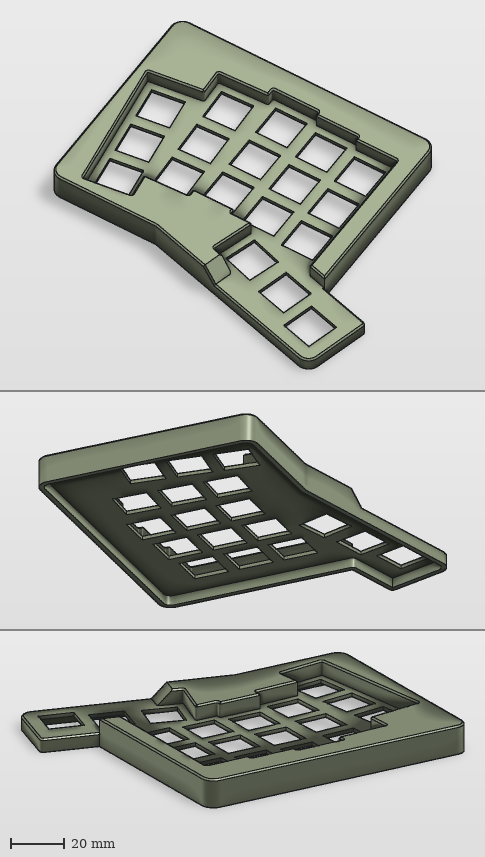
import cadquery as cq
import math

TOTAL_WIDTH = 137.0
TOTAL_DEPTH = 111.5
CASE_HEIGHT = 11.5
DECK_HEIGHT = 5.5
PLATE_THICKNESS = 1.5
WALL = 2.0

MAIN_WIDTH = 115.0
MAIN_FRONT_Y = 21.1
ARM_TILT = 15.2
ARM_WIDTH = 29.6
CORNER_RADIUS = 5.0
ARM_TIP_RADIUS = 1.5
EDGE_CHAMFER = 0.7

KEY_HOLE = 14.0
KEY_PITCH = 18.5
KEYS_PER_COLUMN = 3
COLUMNS = [
    (18.4, 55.8, 7.5),
    (38.8, 68.4, 2.5),
    (59.2, 72.2, 0),
    (78.2, 70.1, 0),
    (96.8, 68.1, 0),
]
THUMB_KEYS = [
    (84.7, 30.4, -17.5),
    (103.5, 23.7, -ARM_TILT),
    (120.4, 14.9, -ARM_TILT),
]

RECESS_WIDTH = 20.3
RECESS_MARGIN = 0.8
RECESS_LENGTH = KEYS_PER_COLUMN * KEY_PITCH + 2 * RECESS_MARGIN
RECESS_RADIUS = 0.7
COLUMN_BRIDGE = 3.8

RAMP_FOOT = 52.0
RAMP_RUN = CASE_HEIGHT - DECK_HEIGHT
RAMP_WIDTH = 8.9

CLEARANCE = 13.7
OVERLAP = 1.4

tilt = math.radians(ARM_TILT)
along_arm = cq.Vector(math.cos(tilt), -math.sin(tilt))
across_arm = cq.Vector(math.sin(tilt), math.cos(tilt))

tip_centre_x = TOTAL_WIDTH - ARM_TIP_RADIUS
front_centre_x = (
    tip_centre_x
    - (ARM_WIDTH - CORNER_RADIUS - ARM_TIP_RADIUS) * across_arm.x
    - (CORNER_RADIUS - ARM_TIP_RADIUS) * along_arm.x
)
arm_front = cq.Vector(front_centre_x, CORNER_RADIUS) + (along_arm - across_arm) * CORNER_RADIUS
arm_back = arm_front + across_arm * ARM_WIDTH

bend_x = arm_front.x - (MAIN_FRONT_Y - arm_front.y) / math.tan(tilt)
notch_y = arm_back.y + (arm_back.x - MAIN_WIDTH) * math.tan(tilt)

OUTLINE = [
    (0, MAIN_FRONT_Y, CORNER_RADIUS),
    (bend_x, MAIN_FRONT_Y, 0),
    (arm_front.x, arm_front.y, CORNER_RADIUS),
    (arm_back.x, arm_back.y, ARM_TIP_RADIUS),
    (MAIN_WIDTH, notch_y, 0),
    (MAIN_WIDTH, TOTAL_DEPTH, CORNER_RADIUS),
    (0, TOTAL_DEPTH, CORNER_RADIUS),
]


def outline_block(height):
    """Rounded case outline, extruded up from Z = 0."""
    block = cq.Workplane("XY").polyline([(x, y) for x, y, _ in OUTLINE]).close().extrude(height)
    for x, y, radius in OUTLINE:
        if radius:
            corner = cq.selectors.NearestToPointSelector((x, y, height / 2))
            block = block.edges(corner).fillet(radius)
    return block


def chamfered_block(height):
    return outline_block(height).faces(">Z").edges().chamfer(EDGE_CHAMFER)


def turned_box(place, x_range, y_range, z_range):
    """Box given in the frame of a place (X, Y, turn about Z)."""
    x, y, turn = place
    (x0, x1), (y0, y1), (z0, z1) = x_range, y_range, z_range
    box = cq.Workplane("XY").box(x1 - x0, y1 - y0, z1 - z0, centered=False)
    return box.translate((x0, y0, z0)).rotate((0, 0, 0), (0, 0, 1), turn).translate((x, y, 0))


def recess():
    """Cutter for the key recess, with the flare that chamfers its upper rim."""
    half_width = RECESS_WIDTH / 2
    half_length = RECESS_LENGTH / 2
    across = (-half_width, half_width)
    heights = (-OVERLAP, CASE_HEIGHT - EDGE_CHAMFER)

    arm_frame = (arm_front.x, arm_front.y, -ARM_TILT)
    shape = turned_box(arm_frame, (-RAMP_FOOT, CLEARANCE), (-CLEARANCE, ARM_WIDTH), heights)
    shape = shape.union(turned_box(THUMB_KEYS[0], across, across, heights))

    for column in COLUMNS:
        shape = shape.union(turned_box(column, across, (-half_length, half_length), heights))
        if column[2]:
            bridge_across = (0, half_width + COLUMN_BRIDGE)
            bridge_length = (-half_length / 2, half_length)
            shape = shape.union(turned_box(column, bridge_across, bridge_length, heights))

    link_left = COLUMNS[-2][0] - COLUMNS[-1][0]
    link_front = THUMB_KEYS[0][1] - COLUMNS[-1][1]
    shape = shape.union(turned_box(COLUMNS[-1], (link_left, half_width), (link_front, 0), heights))

    shape = shape.clean().edges("|Z").fillet(RECESS_RADIUS)
    flare = (
        shape.faces(">Z").wires().toPending()
        .extrude(EDGE_CHAMFER, combine=False, taper=-45)
    )
    return shape.union(flare)


def ramp_section(distance_across, sink):
    """Cross-section of the ramp cutter, with its slope sunk into the case by the given depth."""
    drop = sink * math.sqrt(2)
    top = CASE_HEIGHT + OVERLAP
    profile = [
        (RAMP_FOOT - OVERLAP, DECK_HEIGHT - OVERLAP - drop),
        (RAMP_FOOT + RAMP_RUN + OVERLAP, top - drop),
        (RAMP_FOOT + RAMP_RUN + OVERLAP, top),
        (RAMP_FOOT - OVERLAP, top),
    ]
    points = []
    for distance_back, height in profile:
        point = arm_front - along_arm * distance_back + across_arm * distance_across
        points.append(cq.Vector(point.x, point.y, height))
    return cq.Wire.makePolygon(points, close=True)


def ramp():
    """Cutter for the ramp; it deepens at the outer edge to chamfer it."""
    inner = ramp_section(RAMP_WIDTH, 0)
    shoulder = ramp_section(EDGE_CHAMFER, 0)
    outer = ramp_section(0, EDGE_CHAMFER)
    slope = cq.Solid.makeLoft([inner, shoulder], True)
    edge = cq.Solid.makeLoft([shoulder, outer], True)
    return cq.Workplane(slope).union(cq.Workplane(edge))


def key_holes():
    half = KEY_HOLE / 2
    span = (-half, half)
    heights = (-OVERLAP, DECK_HEIGHT + OVERLAP)
    holes = cq.Workplane("XY")
    for key in THUMB_KEYS:
        holes = holes.add(turned_box(key, span, span, heights))
    for column in COLUMNS:
        for row in range(KEYS_PER_COLUMN):
            middle = (row - (KEYS_PER_COLUMN - 1) / 2) * KEY_PITCH
            holes = holes.add(turned_box(column, span, (middle - half, middle + half), heights))
    return holes.combine()


def underside_hollow():
    depth = DECK_HEIGHT - PLATE_THICKNESS
    footprint = outline_block(depth).faces("<Z").wires().toPending()
    return footprint.offset2D(-WALL).extrude(depth, combine=False)


deck = chamfered_block(DECK_HEIGHT)
rim = chamfered_block(CASE_HEIGHT).cut(recess()).cut(ramp())
result = deck.union(rim).cut(underside_hollow()).cut(key_holes())